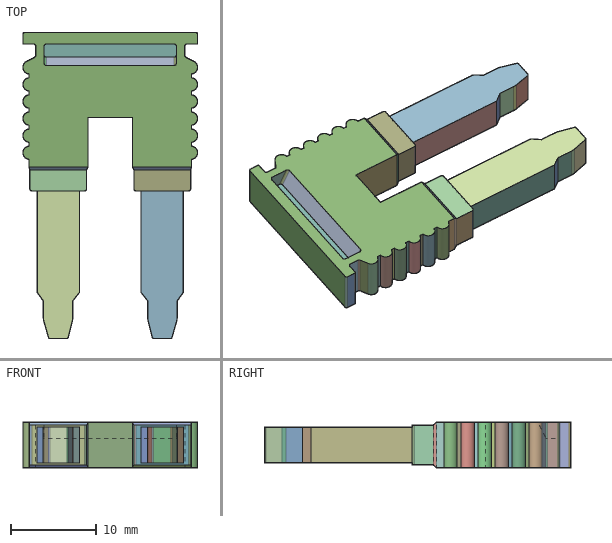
import cadquery as cq
import math

LENGTH = 35.9
WIDTH = 20.5
HALF_WIDTH = WIDTH / 2
BODY_THICKNESS = 5.4

FLANGE_DEPTH = 1.35
FLANGE_FILLET = 0.2
FLANGE_BACK_FILLET = 0.1
NECK_HALF_WIDTH = 8.75
NECK_FILLET = 0.2

RIDGE_COUNT = 6
RIDGE_RADIUS = 0.8
FIRST_RIDGE_DEPTH = 4.1
RIDGE_SPAN = 10.0
RIDGE_PITCH = RIDGE_SPAN / (RIDGE_COUNT - 1)
ROOT_HALF_WIDTH = 9.55
RAMP_ANGLE = math.radians(27)

GAP_HALF_WIDTH = 2.6
GAP_DEPTH = 9.98
BEVEL_START = 15.75
BEVEL_END = 16.12

SLOT_HALF_WIDTH = 7.75
SLOT_START = FLANGE_DEPTH
SLOT_FLOOR_END = 2.9
SLOT_END = 3.88
SLOT_FLOOR_DEPTH = 1.9
SLOT_FILLET = 0.25

COLLAR_INNER = 2.75
COLLAR_OUTER = 9.45
COLLAR_END = 18.6
COLLAR_THICKNESS = 4.65
COLLAR_FILLET = 0.25

PRONG_THICKNESS = 4.2
SHANK_INNER = 3.6
SHANK_OUTER = 8.58
STEP_START = 30.48
STEP_END = 31.5
NOSE_INNER = 4.38
NOSE_OUTER = 7.85
TAPER_START = 33.65
TAPER_FILLET = 1.72
TIP_INNER = 4.95
TIP_OUTER = 7.2
TIP_FILLET = 0.18


def fillet_corners(solid, corners, radius):
    """Round the Z-direction edges standing at the given XY corners."""
    for x, y in corners:
        edge = cq.selectors.NearestToPointSelector((x, y, 0))
        solid = solid.edges("|Z").edges(edge).fillet(radius)
    return solid


def slab(outline, thickness):
    """Extrude a closed XY outline symmetrically about Z = 0."""
    return outline.close().extrude(thickness / 2, both=True)


def make_body():
    """Half of the grip body, from the head to the start of the leg bevel."""
    ridge_x = HALF_WIDTH - RIDGE_RADIUS
    half_chord = math.sqrt(RIDGE_RADIUS**2 - (ROOT_HALF_WIDTH - ridge_x) ** 2)

    touch_x = ridge_x + RIDGE_RADIUS * math.sin(RAMP_ANGLE)
    touch_depth = FIRST_RIDGE_DEPTH - RIDGE_RADIUS * math.cos(RAMP_ANGLE)
    neck_end = touch_depth - (touch_x - NECK_HALF_WIDTH) * math.tan(RAMP_ANGLE)

    outline = (
        cq.Workplane("XY")
        .lineTo(HALF_WIDTH, 0)
        .lineTo(HALF_WIDTH, -FLANGE_DEPTH)
        .lineTo(NECK_HALF_WIDTH, -FLANGE_DEPTH)
        .lineTo(NECK_HALF_WIDTH, -neck_end)
        .lineTo(touch_x, -touch_depth)
    )
    for i in range(RIDGE_COUNT):
        center = FIRST_RIDGE_DEPTH + i * RIDGE_PITCH
        if i > 0:
            outline = outline.lineTo(ROOT_HALF_WIDTH, -(center - half_chord))
        outline = outline.threePointArc(
            (HALF_WIDTH, -center), (ROOT_HALF_WIDTH, -(center + half_chord))
        )
    outline = (
        outline.lineTo(ROOT_HALF_WIDTH, -BEVEL_START)
        .lineTo(GAP_HALF_WIDTH, -BEVEL_START)
        .lineTo(GAP_HALF_WIDTH, -GAP_DEPTH)
        .lineTo(0, -GAP_DEPTH)
    )
    body = slab(outline, BODY_THICKNESS)
    body = fillet_corners(body, [(HALF_WIDTH, 0)], FLANGE_FILLET)
    body = fillet_corners(body, [(HALF_WIDTH, -FLANGE_DEPTH)], FLANGE_BACK_FILLET)
    neck_corners = [(NECK_HALF_WIDTH, -FLANGE_DEPTH), (NECK_HALF_WIDTH, -neck_end)]
    return fillet_corners(body, neck_corners, NECK_FILLET)


def make_bevel():
    """Four-sided taper from the end of a body leg to its collar."""
    leg_center = (GAP_HALF_WIDTH + ROOT_HALF_WIDTH) / 2
    collar_center = (COLLAR_INNER + COLLAR_OUTER) / 2
    return (
        cq.Workplane("XZ", origin=(leg_center, -BEVEL_START, 0))
        .rect(ROOT_HALF_WIDTH - GAP_HALF_WIDTH, BODY_THICKNESS)
        .workplane(offset=BEVEL_END - BEVEL_START)
        .center(collar_center - leg_center, 0)
        .rect(COLLAR_OUTER - COLLAR_INNER, COLLAR_THICKNESS)
        .loft(ruled=True)
    )


def make_collar():
    outline = (
        cq.Workplane("XY")
        .moveTo(COLLAR_INNER, -BEVEL_END)
        .lineTo(COLLAR_OUTER, -BEVEL_END)
        .lineTo(COLLAR_OUTER, -COLLAR_END)
        .lineTo(COLLAR_INNER, -COLLAR_END)
    )
    corners = [(COLLAR_INNER, -COLLAR_END), (COLLAR_OUTER, -COLLAR_END)]
    return fillet_corners(slab(outline, COLLAR_THICKNESS), corners, COLLAR_FILLET)


def make_prong():
    outline = (
        cq.Workplane("XY")
        .moveTo(SHANK_INNER, -COLLAR_END)
        .lineTo(SHANK_OUTER, -COLLAR_END)
        .lineTo(SHANK_OUTER, -STEP_START)
        .lineTo(NOSE_OUTER, -STEP_END)
        .lineTo(NOSE_OUTER, -TAPER_START)
        .lineTo(TIP_OUTER, -LENGTH)
        .lineTo(TIP_INNER, -LENGTH)
        .lineTo(NOSE_INNER, -TAPER_START)
        .lineTo(NOSE_INNER, -STEP_END)
        .lineTo(SHANK_INNER, -STEP_START)
    )
    prong = slab(outline, PRONG_THICKNESS)
    taper_corners = [(NOSE_INNER, -TAPER_START), (NOSE_OUTER, -TAPER_START)]
    tip_corners = [(TIP_INNER, -LENGTH), (TIP_OUTER, -LENGTH)]
    prong = fillet_corners(prong, taper_corners, TAPER_FILLET)
    return fillet_corners(prong, tip_corners, TIP_FILLET)


def make_slot_cutter():
    top = BODY_THICKNESS / 2
    floor = top - SLOT_FLOOR_DEPTH
    cutter = (
        cq.Workplane("YZ")
        .moveTo(-SLOT_START, top)
        .lineTo(-SLOT_START, floor)
        .lineTo(-SLOT_FLOOR_END, floor)
        .lineTo(-SLOT_END, top)
        .close()
        .extrude(SLOT_HALF_WIDTH, both=True)
    )
    return cutter.edges("not (|X or |Y)").fillet(SLOT_FILLET)


half = make_body().union(make_bevel()).union(make_collar()).union(make_prong())
result = half.union(half.mirror("YZ")).cut(make_slot_cutter()).clean()